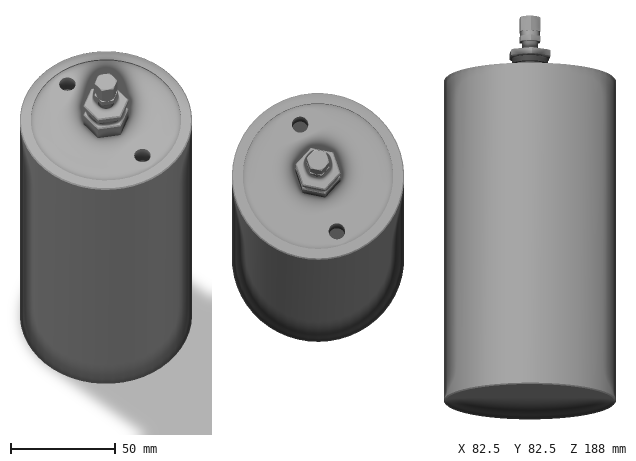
import cadquery as cq
import math

housing_diameter = 82.5
housing_height = 157.3
rim_chamfer = 0.5
recess_diameter = 72.0
recess_depth = 0.8
recess_floor = housing_height - recess_depth

hole_diameter = 7.9
hole_depth = 9.4
hole_points = [(-28.5, -0.2), (27.0, 0.2)]

base_nut_top = 164.0
neck_top = 165.2
washer_top = 167.8
lock_nut_top = 171.5
shank_top = 176.0
collar_top = 178.5
groove_top = 180.8
fitting_top = 188.0

nut_flats = 19.0
nut_chamfer = 0.5
neck_diameter = 14.0
washer_diameter = 17.3
shank_diameter = 7.7
cap_flats = 9.5
cap_top_diameter = 9.4
groove_diameter = 9.4
cap_chamfer_angle = 30.0


def corner_diameter(flats):
    """Diameter across the corners of a hexagon."""
    return flats / math.cos(math.radians(30))


def disc(diameter, bottom, top):
    """Round section between two levels."""
    return cq.Workplane("XY").workplane(offset=bottom).circle(diameter / 2).extrude(top - bottom)


def hexagon(flats, bottom, top):
    """Hexagonal section between two levels, with corners on the X axis."""
    base = cq.Workplane("XY").workplane(offset=bottom)
    return base.polygon(6, corner_diameter(flats)).extrude(top - bottom)


def make_housing():
    body = disc(housing_diameter, 0, housing_height).faces("<Z or >Z").edges().chamfer(rim_chamfer)
    body = body.cut(disc(recess_diameter, recess_floor, housing_height))
    holes = (
        cq.Workplane("XY")
        .workplane(offset=recess_floor)
        .pushPoints(hole_points)
        .circle(hole_diameter / 2)
        .extrude(-hole_depth)
    )
    return body.cut(holes)


def make_cap():
    """Hexagonal cap whose top corners are turned down to a circle."""
    cap = hexagon(cap_flats, groove_top, fitting_top)
    inner_radius = cap_top_diameter / 2
    outer_radius = corner_diameter(cap_flats) / 2
    corner_drop = (outer_radius - inner_radius) * math.tan(math.radians(cap_chamfer_angle))
    turned_envelope = (
        cq.Workplane("XZ")
        .moveTo(0, groove_top)
        .lineTo(outer_radius, groove_top)
        .lineTo(outer_radius, fitting_top - corner_drop)
        .lineTo(inner_radius, fitting_top)
        .lineTo(0, fitting_top)
        .close()
        .revolve(360, (0, 0, 0), (0, 1, 0))
    )
    return cap.intersect(turned_envelope)


def make_fitting():
    base_nut = hexagon(nut_flats, recess_floor, base_nut_top).faces(">Z").chamfer(nut_chamfer)
    lock_nut = hexagon(nut_flats, washer_top, lock_nut_top).faces("<Z or >Z").chamfer(nut_chamfer)
    return (
        base_nut
        .union(disc(neck_diameter, base_nut_top, neck_top))
        .union(disc(washer_diameter, neck_top, washer_top))
        .union(lock_nut)
        .union(disc(shank_diameter, lock_nut_top, shank_top))
        .union(hexagon(cap_flats, shank_top, collar_top))
        .union(disc(groove_diameter, collar_top, groove_top))
        .union(make_cap())
    )


housing = make_housing()
fitting = make_fitting()
result = cq.Compound.makeCompound([housing.val(), fitting.val()])